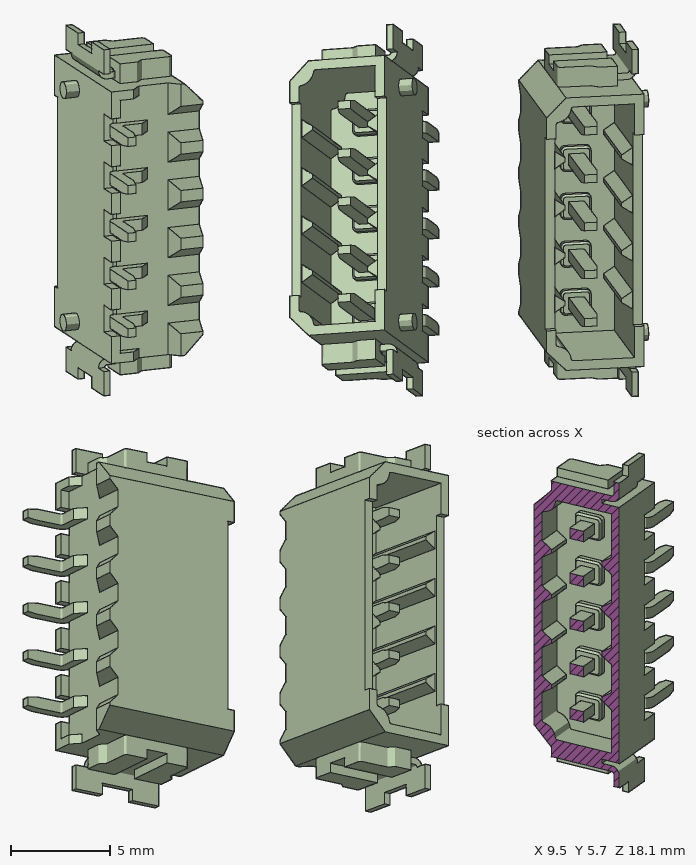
import cadquery as cq


OVERLAP = 0.18
PICK_MARGIN = 0.02

HOUSING_DEPTH = 7.5
HOUSING_HEIGHT = 5.0
HOUSING_LENGTH = 14.2
HOUSING_CHAMFER = 1.0
WALL = 0.49
FRONT_STEP_DEPTH = 0.38
FRONT_STEP_LENGTH = 10.0
CORNER_ROUND_RADIUS = 0.78
CORNER_ROUND_FILLET = 0.13

CAVITY_DEPTH = 5.43
RIB_FRONT = 0.5
RIB_HEIGHT = 0.56
RIB_BASE_WIDTH = 0.95
RIB_TIP_WIDTH = 0.2
BOSS_HEIGHT_Y = 1.55
BOSS_WIDTH_Z = 1.3
BOSS_LENGTH = 0.36
BOSS_CORNER_RADIUS = 0.25
BOSS_CHAMFER = 0.1

REAR_RECESS = 0.49
REAR_GROOVE_TOP = 3.78
REAR_GROOVE_BOTTOM = 1.21
SLOT_DEPTH = 1.0
SLOT_WIDTH = 1.4
UPPER_NOTCH_WIDTH = 0.92

CONTACT_COUNT = 5
PITCH = 2.5
CONTACT_SIZE = 0.6
BLADE_HEIGHT = 0.8
BLADE_FRONT = 1.23
BLADE_TAPER_LENGTH = 0.47
BLADE_TIP_HEIGHT = 0.65
BLADE_TIP_WIDTH = 0.42
TAIL_FRONT = 6.91
TAIL_END = 9.5
TAIL_TAPER_LENGTH = 0.55
TAIL_TIP_SIZE = 0.45
TAIL_BEND_RADIUS = 0.5
TAIL_INNER_RADIUS = 0.13
TAIL_SLOPE_BOTTOM = 1.67

PEG_X = 2.86
PEG_Z = 6.08
PEG_DIAMETER = 0.85
PEG_LENGTH = 0.7

BLOCK_X = 4.0
BLOCK_BOTTOM = 1.01
BLOCK_LENGTH = 1.03
BLOCK_WIDE = 4.42
BLOCK_NARROW = 3.8
BLOCK_STEP_BOTTOM = 2.0
BLOCK_STEP_TOP = 2.3
BLOCK_TOP_FILLET = 0.18
BLOCK_STEP_FILLET = 0.13
CHANNEL_WIDTH = 1.2

CLIP_THICKNESS = 0.35
CLIP_GAP = 0.2
CLIP_END = 9.05
CLIP_BEND_RADIUS = 0.47
CLIP_STRIP_WIDTH = 3.6
CLIP_SHOULDER = 0.92
CLIP_NECK_WIDTH = 2.6
CLIP_FILLET = 0.081
TAB_WIDTH = 5.0
TAB_NOTCH_WIDTH = 1.8
TAB_NOTCH_DEPTH = 0.6

MID_Y = HOUSING_HEIGHT / 2
HALF_LENGTH = HOUSING_LENGTH / 2
REAR_FACE = HOUSING_DEPTH - REAR_RECESS
INNER_HEIGHT = HOUSING_HEIGHT - 2 * WALL
INNER_LENGTH = HOUSING_LENGTH - 2 * WALL
STRIP_BOTTOM = HALF_LENGTH + CLIP_GAP
STRIP_TOP = STRIP_BOTTOM + CLIP_THICKNESS
CONTACT_Z = [(i - (CONTACT_COUNT - 1) / 2) * PITCH for i in range(CONTACT_COUNT)]
RIB_Z = [z + PITCH / 2 for z in CONTACT_Z[:-1]]


def block(x_range, y_range, z_range):
    """Axis-aligned box between the given limits."""
    (x0, x1), (y0, y1), (z0, z1) = x_range, y_range, z_range
    return cq.Workplane("XY").box(x1 - x0, y1 - y0, z1 - z0, centered=False).translate((x0, y0, z0))


def across(middle, width):
    """Limits of a width centred on a middle value."""
    return (middle - width / 2, middle + width / 2)


def both_ends(shape):
    """The shape together with its mirror image at the other end of the housing."""
    return shape.union(shape.mirror("XY"))


def cavity():
    """Mating cavity; two corners are filled with a quarter round."""
    space = block((0, CAVITY_DEPTH), across(MID_Y, INNER_HEIGHT), across(0, INNER_LENGTH))
    corner_y = HOUSING_HEIGHT - WALL
    rounds = (
        cq.Workplane("YZ")
        .pushPoints([(corner_y, INNER_LENGTH / 2), (corner_y, -INNER_LENGTH / 2)])
        .circle(CORNER_ROUND_RADIUS)
        .extrude(CAVITY_DEPTH)
    )
    side_y = corner_y - CORNER_ROUND_RADIUS
    side_z = INNER_LENGTH / 2 - CORNER_ROUND_RADIUS
    round_ends = []
    for sign in (1, -1):
        round_ends.append((side_y, sign * INNER_LENGTH / 2))
        round_ends.append((corner_y, sign * side_z))
    space = space.cut(rounds)
    for y, z in round_ends:
        near = cq.selectors.BoxSelector(
            (0, y - PICK_MARGIN, z - PICK_MARGIN),
            (CAVITY_DEPTH, y + PICK_MARGIN, z + PICK_MARGIN),
        )
        space = space.edges("|X").edges(near).fillet(CORNER_ROUND_FILLET)
    return space


def rear_cut():
    """Material removed from the rear: groove, lower terminal slots and upper notches."""
    groove_outline = [
        (HOUSING_DEPTH, REAR_GROOVE_TOP),
        (REAR_FACE, REAR_GROOVE_TOP - REAR_RECESS),
        (REAR_FACE, REAR_GROOVE_BOTTOM + REAR_RECESS),
        (HOUSING_DEPTH, REAR_GROOVE_BOTTOM),
    ]
    cut = cq.Workplane("XY").polyline(groove_outline).close().extrude(HALF_LENGTH, both=True)
    cut = cut.union(block((REAR_FACE, HOUSING_DEPTH), (WALL, MID_Y), across(0, INNER_LENGTH)))

    base = UPPER_NOTCH_WIDTH / 2
    notch_outline = [
        (REAR_FACE, -base),
        (HOUSING_DEPTH, -base - REAR_RECESS),
        (HOUSING_DEPTH, base + REAR_RECESS),
        (REAR_FACE, base),
    ]
    notch = (
        cq.Workplane("XZ", origin=(0, MID_Y, 0))
        .polyline(notch_outline)
        .close()
        .extrude(-(HOUSING_HEIGHT - MID_Y))
    )
    for z in CONTACT_Z:
        cut = cut.union(block((HOUSING_DEPTH - SLOT_DEPTH, HOUSING_DEPTH), (0, WALL), across(z, SLOT_WIDTH)))
        cut = cut.union(notch.translate((0, 0, z)))
    return cut


def housing():
    """Shroud with its cavity, front step and rear cut-outs."""
    body = block((0, HOUSING_DEPTH), (0, HOUSING_HEIGHT), across(0, HOUSING_LENGTH))
    body = body.edges("|X and >Y").chamfer(HOUSING_CHAMFER)
    body = body.cut(cavity())
    body = body.cut(block((0, FRONT_STEP_DEPTH), (0, HOUSING_HEIGHT), across(0, FRONT_STEP_LENGTH)))
    return body.cut(rear_cut())


def ribs(z):
    """Pair of tapered keying ribs facing each other across the cavity."""
    outline = [
        (0, -RIB_BASE_WIDTH / 2),
        (RIB_HEIGHT, -RIB_TIP_WIDTH / 2),
        (RIB_HEIGHT, RIB_TIP_WIDTH / 2),
        (0, RIB_BASE_WIDTH / 2),
    ]
    lower = (
        cq.Workplane("YZ", origin=(RIB_FRONT, WALL, z))
        .polyline(outline)
        .close()
        .extrude(CAVITY_DEPTH - RIB_FRONT)
    )
    upper = lower.mirror("XZ", (0, MID_Y, 0))
    return lower.union(upper)


def boss(z):
    """Chamfered, rounded pad around a contact on the cavity floor."""
    front = CAVITY_DEPTH - BOSS_LENGTH
    pad = block((front, CAVITY_DEPTH), across(MID_Y, BOSS_HEIGHT_Y), across(z, BOSS_WIDTH_Z))
    return pad.edges("|X").fillet(BOSS_CORNER_RADIUS).faces("<X").chamfer(BOSS_CHAMFER)


def taper(x, direction, middle, base, tip, length):
    """Four-sided tapered end that starts at x and runs forwards or backwards along X."""
    return (
        cq.Workplane("YZ", origin=(x, *middle))
        .rect(*base)
        .workplane(offset=direction * length)
        .rect(*tip)
        .loft(combine=True)
    )


def contact(z):
    """Blade inside the cavity and a bent tail behind the housing."""
    blade_start = BLADE_FRONT + BLADE_TAPER_LENGTH
    blade = block(
        (blade_start, CAVITY_DEPTH + OVERLAP), across(MID_Y, BLADE_HEIGHT), across(z, CONTACT_SIZE)
    )
    blade_tip = taper(
        blade_start,
        -1,
        (MID_Y, z),
        (BLADE_HEIGHT, CONTACT_SIZE),
        (BLADE_TIP_HEIGHT, BLADE_TIP_WIDTH),
        BLADE_TAPER_LENGTH,
    )

    tail_back = TAIL_FRONT + CONTACT_SIZE
    tail_start = TAIL_END - TAIL_TAPER_LENGTH
    tail = (
        cq.Workplane("XY", origin=(0, 0, z - CONTACT_SIZE / 2))
        .moveTo(tail_start, 0)
        .lineTo(TAIL_FRONT + TAIL_BEND_RADIUS, 0)
        .radiusArc((TAIL_FRONT, TAIL_BEND_RADIUS), TAIL_BEND_RADIUS)
        .lineTo(TAIL_FRONT, TAIL_SLOPE_BOTTOM + CONTACT_SIZE)
        .lineTo(tail_back, TAIL_SLOPE_BOTTOM)
        .lineTo(tail_back, CONTACT_SIZE + TAIL_INNER_RADIUS)
        .radiusArc((tail_back + TAIL_INNER_RADIUS, CONTACT_SIZE), -TAIL_INNER_RADIUS)
        .lineTo(tail_start, CONTACT_SIZE)
        .close()
        .extrude(CONTACT_SIZE)
    )
    tail_tip = taper(
        tail_start,
        1,
        (CONTACT_SIZE / 2, z),
        (CONTACT_SIZE, CONTACT_SIZE),
        (TAIL_TIP_SIZE, TAIL_TIP_SIZE),
        TAIL_TAPER_LENGTH,
    )
    return blade.union(blade_tip).union(tail).union(tail_tip)


def peg():
    """Locating peg below the mounting face at the +Z end."""
    return (
        cq.Workplane("XZ", origin=(PEG_X, OVERLAP, PEG_Z))
        .circle(PEG_DIAMETER / 2)
        .extrude(PEG_LENGTH + OVERLAP)
    )


def end_block():
    """Stepped block with a channel, on the +Z end of the housing."""
    top = HOUSING_HEIGHT - HOUSING_CHAMFER
    half_wide = BLOCK_WIDE / 2
    half_narrow = BLOCK_NARROW / 2
    right_side = [
        (half_wide, BLOCK_BOTTOM),
        (half_wide, BLOCK_STEP_BOTTOM),
        (half_narrow, BLOCK_STEP_TOP),
        (half_narrow, top),
    ]
    left_side = [(-x, y) for x, y in reversed(right_side)]
    end = HALF_LENGTH + BLOCK_LENGTH
    body = (
        cq.Workplane("XY", origin=(BLOCK_X, 0, HALF_LENGTH))
        .polyline(right_side + left_side)
        .close()
        .extrude(BLOCK_LENGTH)
    )
    body = body.edges("|Z and >Y").fillet(BLOCK_TOP_FILLET)
    step_edges = cq.selectors.BoxSelector(
        (BLOCK_X - BLOCK_WIDE, BLOCK_STEP_BOTTOM - PICK_MARGIN, HALF_LENGTH),
        (BLOCK_X + BLOCK_WIDE, BLOCK_STEP_TOP + PICK_MARGIN, end),
    )
    body = body.edges("|Z").edges(step_edges).fillet(BLOCK_STEP_FILLET)
    channel = block(across(BLOCK_X, CHANNEL_WIDTH), (BLOCK_BOTTOM, top), (STRIP_TOP, end))
    return body.cut(channel)


def solder_clip():
    """Bent strip below the +Z end block, ending in a notched soldering tab."""
    tab_start = STRIP_BOTTOM + CLIP_BEND_RADIUS
    inner_radius = CLIP_BEND_RADIUS - CLIP_THICKNESS

    half_strip = CLIP_STRIP_WIDTH / 2
    half_neck = CLIP_NECK_WIDTH / 2
    neck_end = BLOCK_BOTTOM + OVERLAP
    strip = (
        cq.Workplane("XY", origin=(BLOCK_X, 0, STRIP_BOTTOM))
        .moveTo(-half_strip, CLIP_BEND_RADIUS)
        .lineTo(half_strip, CLIP_BEND_RADIUS)
        .lineTo(half_strip, CLIP_SHOULDER)
        .lineTo(half_neck, CLIP_SHOULDER)
        .lineTo(half_neck, neck_end)
        .lineTo(-half_neck, neck_end)
        .lineTo(-half_neck, CLIP_SHOULDER)
        .lineTo(-half_strip, CLIP_SHOULDER)
        .close()
        .extrude(CLIP_THICKNESS)
    )
    shoulder_edges = cq.selectors.BoxSelector(
        (BLOCK_X - CLIP_STRIP_WIDTH, CLIP_SHOULDER - PICK_MARGIN, STRIP_BOTTOM),
        (BLOCK_X + CLIP_STRIP_WIDTH, CLIP_SHOULDER + PICK_MARGIN, STRIP_TOP),
    )
    strip = strip.edges("|Z").edges(shoulder_edges).fillet(CLIP_FILLET)

    bend = (
        cq.Workplane("YZ", origin=(BLOCK_X - half_strip, 0, 0))
        .moveTo(CLIP_BEND_RADIUS, STRIP_BOTTOM)
        .radiusArc((0, tab_start), CLIP_BEND_RADIUS)
        .lineTo(CLIP_THICKNESS, tab_start)
        .radiusArc((CLIP_BEND_RADIUS, STRIP_TOP), -inner_radius)
        .close()
        .extrude(CLIP_STRIP_WIDTH)
    )

    tab = block(across(BLOCK_X, TAB_WIDTH), (0, CLIP_THICKNESS), (tab_start, CLIP_END))
    notch = block(
        across(BLOCK_X, TAB_NOTCH_WIDTH), (0, CLIP_THICKNESS), (CLIP_END - TAB_NOTCH_DEPTH, CLIP_END)
    )
    return strip.union(bend).union(tab.cut(notch))


result = housing()
for rib_z in RIB_Z:
    result = result.union(ribs(rib_z))
for contact_z in CONTACT_Z:
    result = result.union(boss(contact_z)).union(contact(contact_z))
for feature in (peg(), end_block(), solder_clip()):
    result = result.union(both_ends(feature))